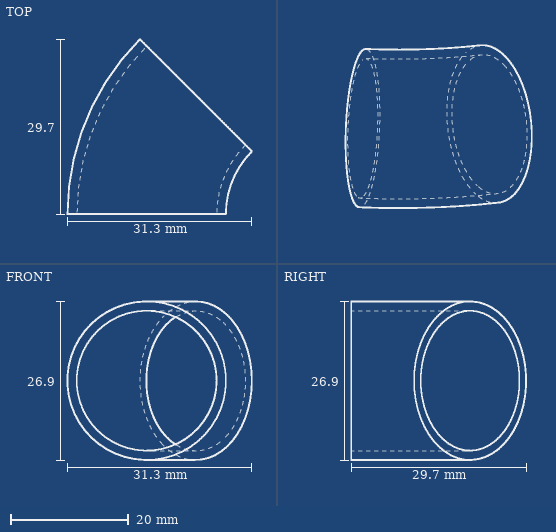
import cadquery as cq

outer_diameter = 26.9
wall_thickness = 1.6
bend_radius = 28.5
bend_angle = 45.0

inner_diameter = outer_diameter - 2 * wall_thickness


def make_elbow():
    """Revolve the pipe's ring section about a bend axis parallel to Z."""
    ring_section = (
        cq.Workplane("XZ")
        .circle(outer_diameter / 2)
        .circle(inner_diameter / 2)
    )
    axis_start = (bend_radius, 0)
    axis_end = (bend_radius, -1)
    return ring_section.revolve(bend_angle, axis_start, axis_end)


result = make_elbow()